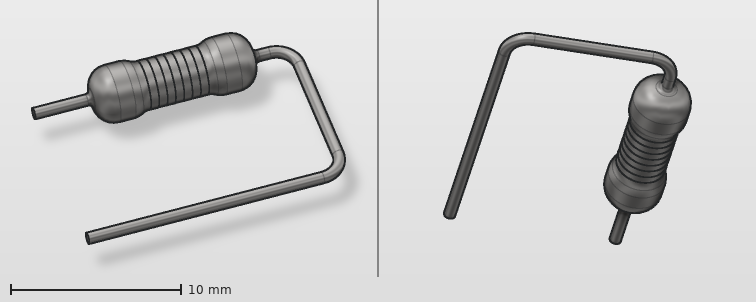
import cadquery as cq
import math

wire_radius = 0.7 / 2
cap_radius = 3.5 / 2
waist_radius = 2.98 / 2
band_radius = 3.0 / 2

body_half_length = 5.0
dome_radius = 1.25
shoulder_start = 2.83
neck_fillet = 0.33

band_count = 4
band_width = 0.5
band_pitch = 1.03
band_row_half_length = ((band_count - 1) * band_pitch + band_width) / 2
shoulder_end = band_row_half_length

overall_length = 16.35
lead_spacing = 9.99
lead_end_y = -8.58
lead_bend_y = lead_end_y + overall_length - wire_radius
bend_radius = 1.42


def make_cap():
    """Revolved end cap on the +Y side, from the waist to the lead neck."""
    dome_x = cap_radius - dome_radius
    dome_y = body_half_length - dome_radius

    fillet_x = wire_radius + neck_fillet
    centre_distance = dome_radius + neck_fillet
    fillet_y = dome_y + math.sqrt(centre_distance**2 - (fillet_x - dome_x)**2)
    tangent_angle = math.atan2(fillet_y - dome_y, fillet_x - dome_x)

    def dome_point(angle):
        return (dome_x + dome_radius * math.cos(angle), dome_y + dome_radius * math.sin(angle))

    fillet_mid_angle = (tangent_angle + 2 * math.pi) / 2
    fillet_mid = (
        fillet_x + neck_fillet * math.cos(fillet_mid_angle),
        fillet_y + neck_fillet * math.sin(fillet_mid_angle),
    )

    shoulder_length = shoulder_start - shoulder_end
    shoulder_rise = cap_radius - waist_radius
    shoulder_radius = (shoulder_length**2 + shoulder_rise**2) / (4 * shoulder_rise)
    shoulder_middle = ((waist_radius + cap_radius) / 2, (shoulder_start + shoulder_end) / 2)

    return (
        cq.Workplane("XY")
        .moveTo(0, shoulder_end)
        .lineTo(waist_radius, shoulder_end)
        .radiusArc(shoulder_middle, shoulder_radius)
        .radiusArc((cap_radius, shoulder_start), -shoulder_radius)
        .lineTo(cap_radius, dome_y)
        .threePointArc(dome_point(tangent_angle / 2), dome_point(tangent_angle))
        .threePointArc(fillet_mid, (wire_radius, fillet_y))
        .lineTo(0, fillet_y)
        .close()
        .revolve(360, (0, 0, 0), (0, 1, 0))
    )


def make_disc(radius, centre_y, width):
    """Cylinder along Y, centred on the body axis."""
    return (
        cq.Workplane("XZ", origin=(0, centre_y + width / 2, 0))
        .circle(radius)
        .extrude(width)
    )


def make_lead():
    """Round wire through the body, bent twice to return beside it."""
    path = (
        cq.Workplane("XY")
        .moveTo(0, lead_end_y)
        .lineTo(0, lead_bend_y - bend_radius)
        .radiusArc((bend_radius, lead_bend_y), bend_radius)
        .lineTo(lead_spacing - bend_radius, lead_bend_y)
        .radiusArc((lead_spacing, lead_bend_y - bend_radius), bend_radius)
        .lineTo(lead_spacing, lead_end_y)
    )
    return cq.Workplane("XZ", origin=(0, lead_end_y, 0)).circle(wire_radius).sweep(path)


cap = make_cap()
waist = make_disc(waist_radius, 0, 2 * shoulder_end)
body = waist.union(cap).union(cap.mirror("XZ"))

for index in range(band_count):
    band_centre_y = (index - (band_count - 1) / 2) * band_pitch
    body = body.union(make_disc(band_radius, band_centre_y, band_width))

result = body.union(make_lead())